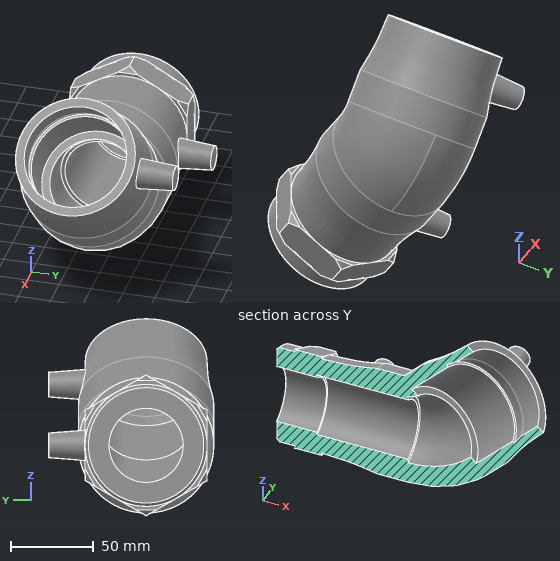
import math

import cadquery as cq


bend_angle = 45.0
bend_radius = 33.85
body_diameter = 82.0
end_diameter = 73.8
straight_length = 20.5
taper_length = 36.9
arm_length = straight_length + taper_length

collar_length = 12.0
collar_chamfer = 2.0
hex_width = 18.0
hex_across_flats = end_diameter
hex_corner_radius = hex_across_flats / math.sqrt(3)
hex_corner_chamfer = 3.5
adapter_length = collar_length + hex_width

thread_bore_diameter = 44.84
thread_bore_depth = 27.0
relief_bore_diameter = 48.0
bend_bore_diameter = 53.0
socket_diameter = 63.0
groove_diameter = 66.0
groove_start_depth = 15.1
groove_width = 8.0

terminal_tip_diameter = 15.0
terminal_base_diameter = 18.6
terminal_root_y = 36.0
terminal_tip_y = 59.0
terminal_offset = 19.5

bend_start_x = adapter_length + arm_length
bend_sin = math.sin(math.radians(bend_angle))
bend_cos = math.cos(math.radians(bend_angle))
inlet_frame = cq.Plane(origin=(bend_start_x, 0, 0), xDir=(-1, 0, 0), normal=(0, -1, 0))
outlet_frame = cq.Plane(
    origin=(bend_start_x + bend_radius * bend_sin, 0, bend_radius * (1 - bend_cos)),
    xDir=(bend_cos, 0, bend_sin),
    normal=(0, -1, 0),
)


def cylinder_along_arm(frame, start, length, diameter):
    """Cylinder on an arm's axis, starting at a distance from the bend."""
    return (
        cq.Workplane(frame)
        .center(start, 0)
        .rect(length, diameter / 2, centered=False)
        .revolve(360, (0, 0), (1, 0))
    )


def arm(frame):
    """Straight length followed by a flared taper that ends parallel to the axis."""
    body_radius = body_diameter / 2
    end_radius = end_diameter / 2
    drop = body_radius - end_radius
    flare_radius = (taper_length**2 + drop**2) / (2 * drop)
    half_sweep = math.asin(taper_length / flare_radius) / 2
    flare_middle = (
        arm_length - flare_radius * math.sin(half_sweep),
        end_radius + flare_radius * (1 - math.cos(half_sweep)),
    )
    return (
        cq.Workplane(frame)
        .lineTo(0, body_radius)
        .lineTo(straight_length, body_radius)
        .threePointArc(flare_middle, (arm_length, end_radius))
        .lineTo(arm_length, 0)
        .close()
        .revolve(360, (0, 0), (1, 0))
    )


def bend_section():
    """Workplane across the inlet axis at the start of the bend."""
    return cq.Workplane("YZ", origin=(bend_start_x, 0, 0))


def revolve_bend(section):
    """Revolve a section about the bend axis, which is parallel to Y."""
    return section.revolve(bend_angle, (1, bend_radius), (-1, bend_radius))


def outer_bend():
    """Bend of the body; its round section is cut off at the bend axis, which lies inside it."""
    body_radius = body_diameter / 2
    half_chord = math.sqrt(body_radius**2 - bend_radius**2)
    side_reach = body_radius / math.sqrt(2)
    section = (
        bend_section()
        .moveTo(-half_chord, bend_radius)
        .threePointArc((-side_reach, -side_reach), (0, -body_radius))
        .threePointArc((side_reach, -side_reach), (half_chord, bend_radius))
        .close()
    )
    return revolve_bend(section)


def adapter():
    """Round collar and hexagon with its corners chamfered at both ends."""
    collar = (
        cq.Workplane("YZ")
        .circle(end_diameter / 2)
        .extrude(adapter_length)
        .faces("<X")
        .chamfer(collar_chamfer)
    )
    hexagon = (
        cq.Workplane("YZ", origin=(collar_length, 0, 0))
        .polygon(6, 2 * hex_corner_radius)
        .extrude(hex_width)
        .rotate((0, 0, 0), (1, 0, 0), 90)
    )
    slab = (
        cq.Workplane("XZ")
        .center(collar_length + hex_width / 2, 0)
        .rect(hex_width, 2 * hex_corner_radius)
        .extrude(hex_corner_radius, both=True)
        .edges("|Y")
        .chamfer(hex_corner_chamfer)
    )
    for turn in (0, 60, 120):
        hexagon = hexagon.intersect(slab.rotate((0, 0, 0), (1, 0, 0), turn))
    return collar.union(hexagon)


def terminal(frame):
    """Tapered round boss pointing to +Y."""
    axis_point = frame.toWorldCoords((arm_length - terminal_offset, 0, 0))
    height = terminal_tip_y - terminal_root_y
    return cq.Workplane(
        cq.Solid.makeCone(
            terminal_base_diameter / 2,
            terminal_tip_diameter / 2,
            height,
            pnt=axis_point + cq.Vector(0, terminal_root_y, 0),
            dir=cq.Vector(0, 1, 0),
        )
    )


def groove():
    """Undercut in the socket wall that widens inwards and ends at a flat shoulder."""
    mouth = arm_length - groove_start_depth
    shoulder = mouth - groove_width
    return (
        cq.Workplane(outlet_frame)
        .moveTo(shoulder, 0)
        .lineTo(shoulder, groove_diameter / 2)
        .lineTo(mouth, socket_diameter / 2)
        .lineTo(mouth, 0)
        .close()
        .revolve(360, (0, 0), (1, 0))
    )


def passages():
    """Everything hollow: threaded inlet, relief, bend, and grooved outlet socket reaching the bend."""
    relief_length = bend_start_x - thread_bore_depth
    hollow = revolve_bend(bend_section().circle(bend_bore_diameter / 2))
    hollow = hollow.union(cylinder_along_arm(inlet_frame, 0, bend_start_x, thread_bore_diameter))
    hollow = hollow.union(cylinder_along_arm(inlet_frame, 0, relief_length, relief_bore_diameter))
    hollow = hollow.union(cylinder_along_arm(outlet_frame, 0, arm_length, socket_diameter))
    return hollow.union(groove())


result = outer_bend().union(adapter())
for arm_frame in (inlet_frame, outlet_frame):
    result = result.union(arm(arm_frame)).union(terminal(arm_frame))
result = result.cut(passages())